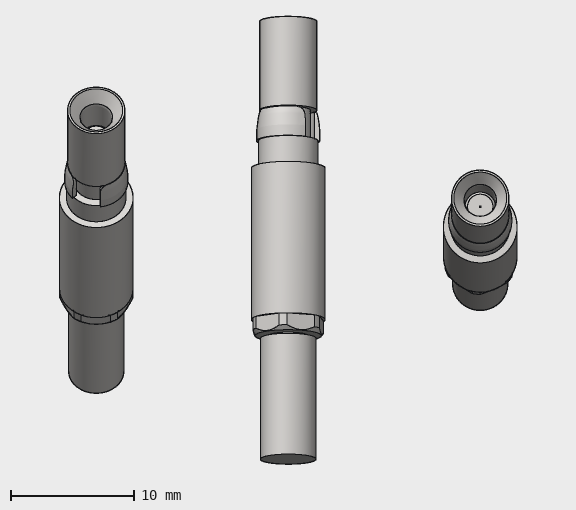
import cadquery as cq
import math

total_length = 36.1
tail_top = 9.95
nut_bottom = 10.18
barrel_bottom = 11.5
barrel_top = 24.0
groove_bottom = 26.25
groove_top = 28.77

tail_diameter = 4.5
neck_diameter = 3.2
barrel_diameter = 6.0
collar_diameter = 4.85
groove_diameter = 3.6
nose_diameter = 4.65

hex_across_flats = 5.45
hex_corner_diameter = 5.95
hex_sides = 6
hex_corner_angle = -20.0
hex_chamfer_width = 0.3
hex_chamfer_height = 0.35

funnel_diameter = 4.3
funnel_depth = 0.95
bore_mouth_diameter = 2.65
bore_mouth_depth = 0.25
bore_diameter = 2.53
bore_bottom = groove_top

ferrule_diameter = 2.5
ferrule_top = 32.5
ferrule_tip_diameter = 2.05
ferrule_tip_height = 0.2
fibre_hole_diameter = 0.15
fibre_hole_depth = 1.8

clip_diameter = 5.13
clip_wall = 0.45
clip_band_height = 0.85
clip_crown_radius = 2.35
clip_top = 28.75
clip_bevel_width = 0.07
clip_bevel_height = 0.18
clip_crown_bulge = 0.05
clip_corner_radius = 0.65
gap_angle = 57.0
gap_turn = 20.0


def cylinder(diameter, bottom, top):
    """Upright cylinder on the contact axis."""
    return cq.Workplane("XY").workplane(offset=bottom).circle(diameter / 2).extrude(top - bottom)


def cone(bottom_diameter, top_diameter, bottom, top):
    """Upright truncated cone on the contact axis."""
    solid = cq.Solid.makeCone(
        bottom_diameter / 2, top_diameter / 2, top - bottom, pnt=cq.Vector(0, 0, bottom)
    )
    return cq.Workplane(solid)


def make_hex_end():
    """Hexagon with corners rounded to a cylinder and a conical lower chamfer."""
    hex_height = barrel_bottom - nut_bottom
    across_corners = hex_across_flats / math.cos(math.pi / hex_sides)
    hexagon = (
        cq.Workplane("XY")
        .workplane(offset=nut_bottom)
        .polygon(hex_sides, across_corners)
        .extrude(hex_height)
        .rotate((0, 0, 0), (0, 0, 1), hex_corner_angle)
    )
    chamfer_top = nut_bottom + hex_chamfer_height
    end_diameter = hex_corner_diameter - 2 * hex_chamfer_width
    envelope = cylinder(hex_corner_diameter, chamfer_top, barrel_bottom)
    envelope = envelope.union(cone(end_diameter, hex_corner_diameter, nut_bottom, chamfer_top))
    return hexagon.intersect(envelope)


def make_ferrule():
    """Ferrule with a tapered tip and a fine central hole."""
    taper_bottom = ferrule_top - ferrule_tip_height
    shank = cylinder(ferrule_diameter, bore_bottom, taper_bottom)
    tip = cone(ferrule_diameter, ferrule_tip_diameter, taper_bottom, ferrule_top)
    fibre_hole = cylinder(fibre_hole_diameter, ferrule_top - fibre_hole_depth, ferrule_top)
    return shank.union(tip).cut(fibre_hole)


def make_contact():
    """Turned contact body with its hexagon, clip groove, bore and ferrule."""
    body = cylinder(tail_diameter, 0, tail_top)
    body = body.union(cylinder(neck_diameter, tail_top, nut_bottom))
    body = body.union(make_hex_end())
    body = body.union(cylinder(barrel_diameter, barrel_bottom, barrel_top))
    body = body.union(cylinder(collar_diameter, barrel_top, groove_bottom))
    body = body.union(cylinder(groove_diameter, groove_bottom, groove_top))
    body = body.union(cylinder(nose_diameter, groove_top, total_length))

    bore_mouth = total_length - funnel_depth
    bore_top = bore_mouth - bore_mouth_depth
    body = body.cut(cone(bore_mouth_diameter, funnel_diameter, bore_mouth, total_length))
    body = body.cut(cone(bore_diameter, bore_mouth_diameter, bore_top, bore_mouth))
    body = body.cut(cylinder(bore_diameter, bore_bottom, bore_top))
    return body.union(make_ferrule())


def make_clip_gap():
    """Radial wedge for the gap in the clip, pointing toward -Y and turned toward +X."""
    reach = barrel_diameter
    half_width = reach * math.tan(math.radians(gap_angle / 2))
    wedge = (
        cq.Workplane("XY")
        .workplane(offset=groove_bottom)
        .polyline([(0, 0), (-half_width, -reach), (half_width, -reach)])
        .close()
        .extrude(clip_top - groove_bottom)
    )
    return wedge.rotate((0, 0, 0), (0, 0, 1), gap_turn)


def make_clip_envelope():
    """Solid of revolution with a straight band, a domed crown and a bevelled top edge."""
    band_radius = clip_diameter / 2
    band_top = groove_bottom + clip_band_height
    crown_top = clip_top - clip_bevel_height
    crown_middle = (
        (band_radius + clip_crown_radius) / 2 + clip_crown_bulge,
        (band_top + crown_top) / 2,
    )
    return (
        cq.Workplane("XZ")
        .moveTo(0, groove_bottom)
        .lineTo(band_radius, groove_bottom)
        .lineTo(band_radius, band_top)
        .threePointArc(crown_middle, (clip_crown_radius, crown_top))
        .lineTo(clip_crown_radius - clip_bevel_width, clip_top)
        .lineTo(0, clip_top)
        .close()
        .revolve(360, (0, 0, 0), (0, 1, 0))
    )


def make_clip():
    """Open spring ring whose two ends have rounded upper corners."""
    inner_diameter = clip_diameter - 2 * clip_wall
    ring = cylinder(clip_diameter, groove_bottom, clip_top)
    ring = ring.cut(cylinder(inner_diameter, groove_bottom, clip_top))
    ring = ring.cut(make_clip_gap())
    ring = ring.faces(">Z").edges("%LINE").fillet(clip_corner_radius)
    return ring.intersect(make_clip_envelope())


contact = make_contact()
clip = make_clip()

result = cq.Compound.makeCompound([contact.val(), clip.val()])